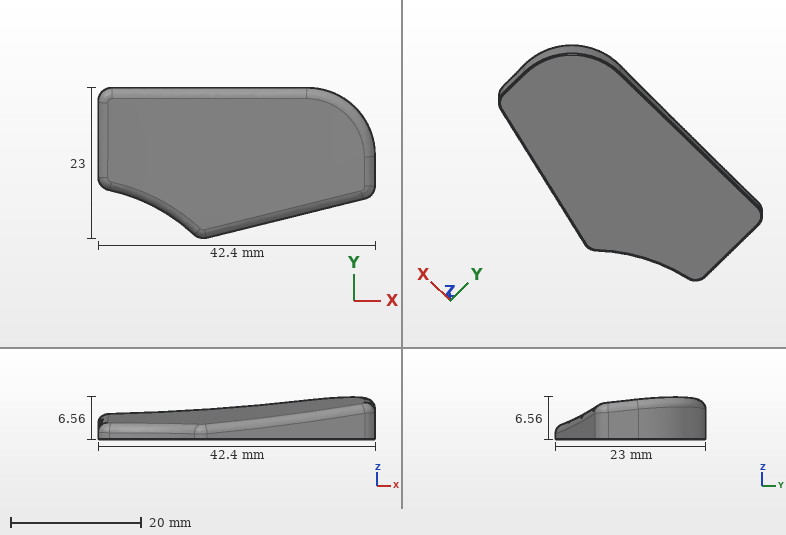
import cadquery as cq

length = 42.4
back_y = 23.05
round_radius = 10.4
corner_radius = 2.1
top_fillet = 1.5
bottom_chamfer = 0.2

left_front = (0.0, 7.67)
tip = (15.5, -0.2)
right_front = (length, 6.45)
scoop_middle = (8.5, 4.95)

slope_y = 0.11
profile_start_z = 1.55
profile_middle_z = 2.65
profile_end_z = 5.72
margin = 4.25
plate_height = 8.5
cutter_top = 2 * plate_height


def rounded_plate():
    """Outline extruded well above the top face, with its upright corners rounded."""
    plate = (
        cq.Workplane("XY")
        .moveTo(*left_front)
        .threePointArc(scoop_middle, tip)
        .lineTo(*right_front)
        .lineTo(length, back_y)
        .lineTo(0, back_y)
        .close()
        .extrude(plate_height)
    )
    back_right = cq.selectors.NearestToPointSelector((length, back_y, plate_height / 2))
    plate = plate.edges("|Z").edges(back_right).fillet(round_radius)
    for x, y in (left_front, tip, right_front, (0, back_y)):
        corner = cq.selectors.NearestToPointSelector((x, y, plate_height / 2))
        plate = plate.edges("|Z").edges(corner).fillet(corner_radius)
    return plate


def space_above_top_face():
    """Body whose underside is the curved, tilted top face."""
    start_y = back_y + margin
    profile = (
        cq.Workplane("XZ", origin=(0, start_y, slope_y * start_y))
        .moveTo(-margin, profile_start_z)
        .threePointArc((length / 2, profile_middle_z), (length + margin, profile_end_z))
        .lineTo(length + margin, cutter_top)
        .lineTo(-margin, cutter_top)
        .close()
    )
    sweep_y = start_y + margin
    path = cq.Vector(0, -sweep_y, -slope_y * sweep_y)
    return cq.Workplane(cq.Solid.extrudeLinear(cq.Face.makeFromWires(profile.val()), path))


body = rounded_plate().faces("<Z").edges().chamfer(bottom_chamfer)
body = body.cut(space_above_top_face())
middle = (length / 2, back_y / 2, profile_middle_z + slope_y * back_y / 2)
top_face = cq.selectors.NearestToPointSelector(middle)
result = body.faces(top_face).edges().fillet(top_fillet)